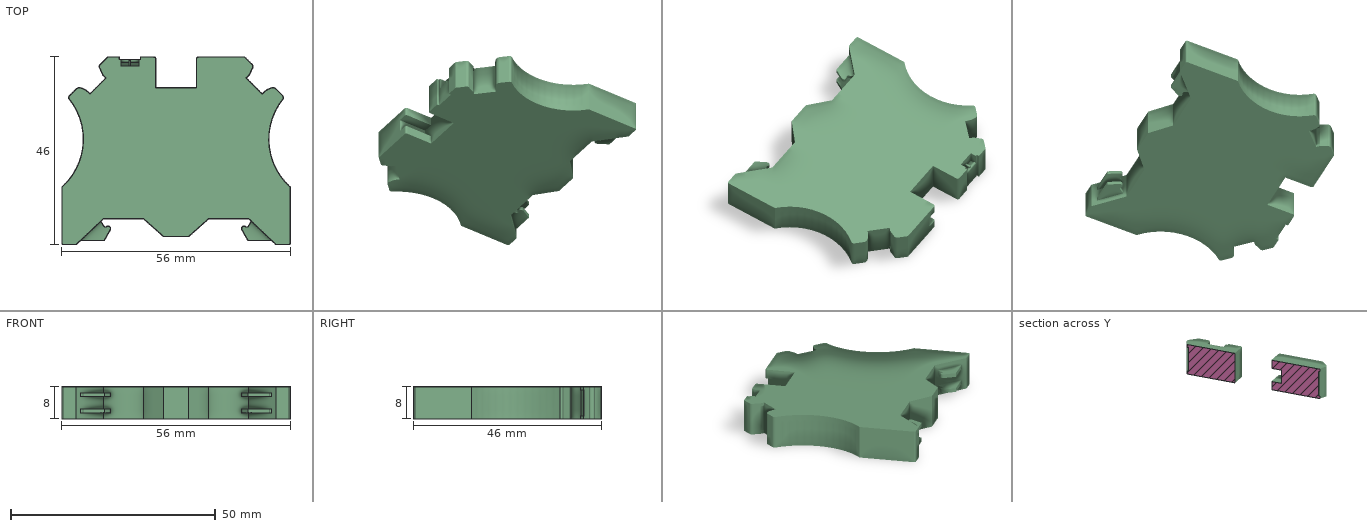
import cadquery as cq
import math

width = 56.0
height = 46.0
thickness = 8.0
half_width = width / 2
top_y = height / 2
bottom_y = -top_y
base_corner_radius = 0.4

scoop_radius = 15.75
scoop_axis_offset = 10.5
scoop_center = (half_width + scoop_axis_offset, 2.85)
scoop_start_y = scoop_center[1] - math.sqrt(scoop_radius**2 - scoop_axis_offset**2)
scoop_end_y = 12.8

rail_roof_y = -16.65
leg_inner_x = 24.5
rail_roof_outer_x = 17.8
rail_roof_inner_x = 8.0
foot_y = -21.05
foot_half_width = 3.05

lip_tip = (26.3, 13.2)
lip_bevel_start = (26.05, 13.6)
lip_crown_start = (24.4, 15.25)
lip_crown_middle = (24.05, 15.44)
lip_crown_end = (23.6, 15.5)
lip_flank_middle = (22.25, 14.95)
entry_bottom = (21.1, 13.95)
entry_top = (17.2, 17.85)
jaw_edge = (17.95, 18.55)
hook_face_end = (18.65, 20.1)
hook_nose = (18.85, 20.6)
hook_bevel_start = (18.55, 21.25)
hook_bevel_end_x = hook_bevel_start[0] - (top_y - hook_bevel_start[1])

skin_thickness = 0.8
jaw_relief = 0.2

slot_half_width = 4.95
slot_floor_y = 15.5
slot_corner_radius = 0.5

bridge_depth = 2.6
bridge_width = 3.4

marker_left_x = -13.9
marker_right_x = -8.75
marker_step_y = 22.4
marker_pocket_inset = 0.4
marker_pocket_y = 20.85
marker_floor_z = 5.0
marker_bar_radius = 0.4
marker_bar_y = marker_step_y - marker_bar_radius
marker_rib_width = 0.4
marker_rib_height = 1.0
marker_rib_end_y = marker_step_y - 0.2

claw_thickness = 0.95
claw_inset = 1.55
claw_bottom_y = -22.0
claw_tail = (23.4, -21.95)
claw_sole_end_x = 22.85
claw_heel_x = 17.6
claw_shoulder = (16.2, -19.5)
claw_nose_side = (16.05, -19.0)
claw_nose_top = (16.4, -18.45)
claw_nose_back = (16.9, -18.45)
claw_gap_middle = (17.3, -18.65)
claw_gap_end = (17.65, -18.55)
claw_top = (18.4, -17.25)
claw_root = (22.0, -18.0)


def scoop_x(y):
    """Distance from the middle plane to the scoop wall at the given y."""
    return scoop_center[0] - math.sqrt(scoop_radius**2 - (y - scoop_center[1]) ** 2)


def prism(outline, bottom_z, top_z):
    """Close an outline and extrude it between two heights."""
    return outline.close().extrude(top_z - bottom_z).translate((0, 0, bottom_z))


def box(left, right, low, high, bottom_z, top_z):
    return (
        cq.Workplane("XY")
        .box(right - left, high - low, top_z - bottom_z, centered=False)
        .translate((left, low, bottom_z))
    )


def both_sides(shape):
    """Join a right-hand shape with its mirror image on the left."""
    return shape.union(shape.mirror("YZ"))


def make_right_half():
    """Half plate, running from the middle plane out to +X."""
    outline = (
        cq.Workplane("XY")
        .moveTo(0, foot_y)
        .lineTo(foot_half_width, foot_y)
        .lineTo(rail_roof_inner_x, rail_roof_y)
        .lineTo(rail_roof_outer_x, rail_roof_y)
        .lineTo(leg_inner_x, bottom_y)
        .lineTo(half_width - base_corner_radius, bottom_y)
        .radiusArc((half_width, bottom_y + base_corner_radius), -base_corner_radius)
        .lineTo(half_width, scoop_start_y)
        .threePointArc(
            (scoop_center[0] - scoop_radius, scoop_center[1]),
            (scoop_x(scoop_end_y), scoop_end_y),
        )
        .threePointArc(lip_tip, lip_bevel_start)
        .lineTo(*lip_crown_start)
        .threePointArc(lip_crown_middle, lip_crown_end)
        .threePointArc(lip_flank_middle, entry_bottom)
        .lineTo(*entry_top)
        .lineTo(*jaw_edge)
        .lineTo(*hook_face_end)
        .threePointArc(hook_nose, hook_bevel_start)
        .lineTo(hook_bevel_end_x, top_y)
        .lineTo(slot_half_width + slot_corner_radius, top_y)
        .radiusArc((slot_half_width, top_y - slot_corner_radius), -slot_corner_radius)
        .lineTo(slot_half_width, slot_floor_y)
        .lineTo(0, slot_floor_y)
    )
    return prism(outline, 0, thickness)


def make_jaw_relief():
    """Shallow step into the right jaw, along the direction of the entry wall."""
    outline = cq.Workplane("XY").polyline(
        [
            entry_top,
            jaw_edge,
            (jaw_edge[0] - jaw_relief, jaw_edge[1] + jaw_relief),
            (entry_top[0] - jaw_relief, entry_top[1] + jaw_relief),
        ]
    )
    return prism(outline, skin_thickness, thickness - skin_thickness)


def make_claw(bottom_z):
    outline = (
        cq.Workplane("XY")
        .moveTo(*claw_tail)
        .lineTo(claw_sole_end_x, claw_bottom_y)
        .lineTo(claw_heel_x, claw_bottom_y)
        .lineTo(*claw_shoulder)
        .threePointArc(claw_nose_side, claw_nose_top)
        .lineTo(*claw_nose_back)
        .threePointArc(claw_gap_middle, claw_gap_end)
        .lineTo(*claw_top)
        .lineTo(*claw_root)
    )
    return prism(outline, bottom_z, bottom_z + claw_thickness)


def make_bridge_groove():
    bottom_z = (thickness - bridge_width) / 2
    return box(
        slot_half_width,
        slot_half_width + bridge_depth,
        slot_floor_y,
        top_y,
        bottom_z,
        bottom_z + bridge_width,
    )


def cut_marker_recess(body):
    """Cut the edge step and the pocket below it, keeping a round bar and a rib on the floor."""
    left = marker_left_x + marker_pocket_inset
    right = marker_right_x - marker_pocket_inset
    middle = (left + right) / 2

    step = box(marker_left_x, marker_right_x, marker_step_y, top_y, 0, thickness)
    pocket = box(left, right, marker_pocket_y, marker_step_y, marker_floor_z, thickness)
    bar = (
        cq.Workplane("YZ")
        .center(marker_bar_y, marker_floor_z)
        .circle(marker_bar_radius)
        .extrude(right - left)
        .translate((left, 0, 0))
    )
    rib = box(
        middle - marker_rib_width / 2,
        middle + marker_rib_width / 2,
        marker_pocket_y,
        marker_rib_end_y,
        marker_floor_z,
        marker_floor_z + marker_rib_height,
    )
    return body.cut(step).cut(pocket).union(bar).union(rib)


result = both_sides(make_right_half())
result = result.cut(both_sides(make_jaw_relief()))
result = result.cut(make_bridge_groove())
result = cut_marker_recess(result)
for claw_z in (claw_inset, thickness - claw_inset - claw_thickness):
    result = result.union(both_sides(make_claw(claw_z)))